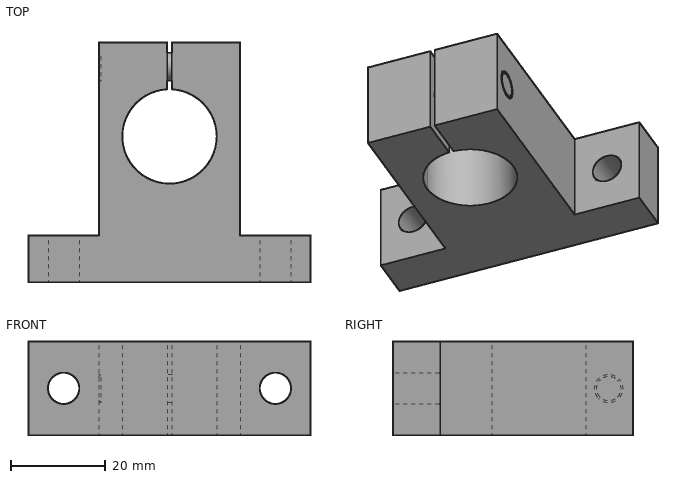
import cadquery as cq

length = 60.0
depth = length / 3
base_thickness = depth / 2
mount_hole_diameter = 6.6
mount_hole_spacing = 0.75 * length

block_width = length / 2
total_height = 0.85 * length
bore_diameter = depth
bore_center_y = total_height - depth
slot_width = 1.0

screw_diameter = 6.0
screw_chamfer = 0.4
screw_inset = 5.2
screw_center_y = total_height - screw_inset


def make_body():
    base = cq.Workplane("XY").box(length, base_thickness, depth, centered=(True, False, True))
    block = cq.Workplane("XY").box(block_width, total_height, depth, centered=(True, False, True))
    return base.union(block)


def make_mount_holes():
    return (
        cq.Workplane("XZ")
        .pushPoints([(-mount_hole_spacing / 2, 0), (mount_hole_spacing / 2, 0)])
        .circle(mount_hole_diameter / 2)
        .extrude(-base_thickness)
    )


def make_bore_and_slot():
    bore = (
        cq.Workplane("XY")
        .center(0, bore_center_y)
        .circle(bore_diameter / 2)
        .extrude(depth / 2, both=True)
    )
    slot = (
        cq.Workplane("XY")
        .box(slot_width, total_height - bore_center_y, depth, centered=(True, False, True))
        .translate((0, bore_center_y, 0))
    )
    return bore.union(slot)


def make_screw_cylinder():
    return (
        cq.Workplane("YZ", origin=(-block_width / 2, screw_center_y, 0))
        .circle(screw_diameter / 2)
        .extrude(block_width)
    )


body = make_body().cut(make_mount_holes()).cut(make_bore_and_slot())

screw_hole = make_screw_cylinder()
screw = make_screw_cylinder().faces("<X").chamfer(screw_chamfer)
result = body.cut(screw_hole).union(screw)